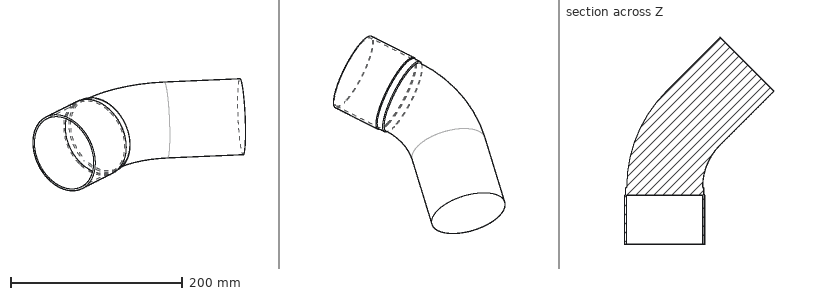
import cadquery as cq
import math

overall_length = 242.0
bend_angle = 45.0

pipe_diameter = 89.0
ring_diameter = 92.0
socket_diameter = 94.0
bore_diameter = 89.0

socket_length = 57.4
ring_start = 58.5
ring_end = 65.8
bend_start = 67.0
bore_depth = socket_length

bend_radius = 114.0

angle = math.radians(bend_angle)
bend_end_x = bend_radius * (1 - math.cos(angle))
bend_end_y = bend_start + bend_radius * math.sin(angle)
outlet_rise = overall_length - bend_end_y - pipe_diameter / 2 * math.sin(angle)
outlet_length = outlet_rise / math.cos(angle)


def make_inlet():
    """Socket, ring and pipe diameters joined by short cones, with a blind flat-floored bore."""
    profile = [
        (bore_diameter / 2, 0),
        (socket_diameter / 2, 0),
        (socket_diameter / 2, socket_length),
        (ring_diameter / 2, ring_start),
        (ring_diameter / 2, ring_end),
        (pipe_diameter / 2, bend_start),
        (0, bend_start),
        (0, bore_depth),
        (bore_diameter / 2, bore_depth),
    ]
    return cq.Workplane("XY").polyline(profile).close().revolve(360, (0, 0, 0), (0, 1, 0))


def make_bend():
    """Round pipe section revolved about a Z axis on the +X side."""
    section = cq.Workplane("XZ", origin=(0, bend_start, 0)).circle(pipe_diameter / 2)
    return section.revolve(bend_angle, (bend_radius, 0, 0), (bend_radius, -1, 0))


def make_outlet():
    """Straight pipe that leaves the bend along its tangent."""
    start = cq.Vector(bend_end_x, bend_end_y, 0)
    direction = cq.Vector(math.sin(angle), math.cos(angle), 0)
    solid = cq.Solid.makeCylinder(pipe_diameter / 2, outlet_length, start, direction)
    return cq.Workplane(obj=solid)


result = make_inlet().union(make_bend()).union(make_outlet())